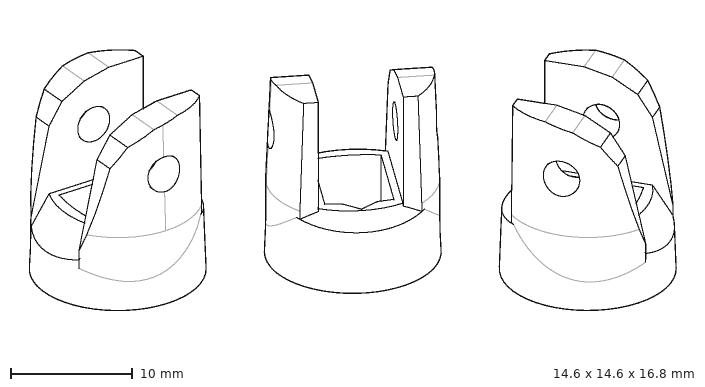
import cadquery as cq
import math

height = 16.78
base_radius = 14.55 / 2
floor_height = 6.76
base_top_radius = 7.03

back_bevel_radius = 7.89
back_bevel_edge = 5.52
back_bevel_slope = math.atan2(7.3, 9.3)
front_bevel_radius = 8.52
front_bevel_edge = -5.19
front_bevel_slope = math.atan2(17.9, 11.7)

slot_width = 7.03
ear_back = 4.92
ear_front = -6.21
ear_front_height = 5.17
ear_start = 0.84
ear_center_y = -0.08
ear_half_width = 7.17
ear_half_depth = 7.05
ear_top_half_width = 6.73
ear_top_half_depth = 7.05
ear_crown = [(1.5, height), (-0.94, 16.23), (-3.15, 14.98), (-4.43, 13.07)]
pin_hole_diameter = 3.17
pin_hole_height = 11.91

opening_half_width = 2.87
opening_front_corner = -3.86
opening_front_middle = -4.16
opening_back_corner = 3.95
notch_half_width = 1.48
notch_start = 4.13
notch_tip = 5.27


def rim_cone(center_y, edge_radius, slope):
    """Solid cone passing through the bevel edge at floor height."""
    foot_radius = edge_radius + floor_height / math.tan(slope)
    cone = cq.Solid.makeCone(foot_radius, edge_radius, floor_height)
    return cq.Workplane(cone.translate(cq.Vector(0, center_y, 0)))


def make_base():
    base = cq.Workplane(cq.Solid.makeCone(base_radius, base_top_radius, floor_height))
    back_center = back_bevel_edge - back_bevel_radius
    front_center = front_bevel_edge + front_bevel_radius
    base = base.intersect(rim_cone(back_center, back_bevel_radius, back_bevel_slope))
    return base.intersect(rim_cone(front_center, front_bevel_radius, front_bevel_slope))


def make_ears():
    lower = (
        cq.Workplane("XY", origin=(0, ear_center_y, ear_start))
        .ellipse(ear_half_width, ear_half_depth)
        .extrude(floor_height - ear_start)
    )
    upper = (
        cq.Workplane("XY", origin=(0, ear_center_y, floor_height))
        .ellipse(ear_half_width, ear_half_depth)
        .workplane(offset=height - floor_height)
        .ellipse(ear_top_half_width, ear_top_half_depth)
        .loft(ruled=True)
    )
    side_outline = [
        (ear_back, ear_start),
        (ear_back, height),
        *ear_crown,
        (ear_front, ear_front_height),
        (ear_front, ear_start),
    ]
    profile = cq.Workplane("YZ").polyline(side_outline).close().extrude(base_radius, both=True)
    slot = cq.Workplane("XY").box(slot_width, 2 * base_radius, 2 * height)
    pin_hole = (
        cq.Workplane("YZ", origin=(0, 0, pin_hole_height))
        .circle(pin_hole_diameter / 2)
        .extrude(base_radius, both=True)
    )
    return lower.union(upper).intersect(profile).cut(slot).cut(pin_hole)


def make_opening():
    return (
        cq.Workplane("XY")
        .moveTo(-opening_half_width, opening_front_corner)
        .threePointArc((0, opening_front_middle), (opening_half_width, opening_front_corner))
        .lineTo(opening_half_width, opening_back_corner)
        .lineTo(notch_half_width, notch_start)
        .lineTo(0, notch_tip)
        .lineTo(-notch_half_width, notch_start)
        .lineTo(-opening_half_width, opening_back_corner)
        .close()
        .extrude(floor_height)
    )


result = make_base().union(make_ears()).cut(make_opening())